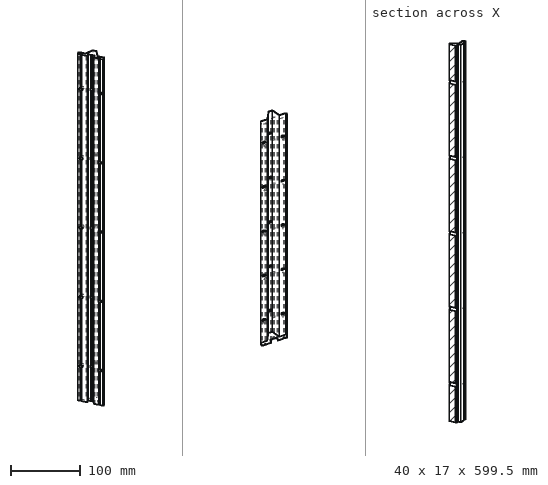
import cadquery as cq

length = 599.5
flange_width = 40.0
flange_thickness = 5.5
total_depth = 17.0
edge_chamfer = 1.0

ridge_root_width = 18.5
ridge_tip_width = 6.0

channel_width = 10.0
channel_depth = 5.0

groove_width = 2.5
groove_depth = 0.9
groove_edge_distance = 5.6

hole_diameter = 4.5
hole_rows = 5

front = -total_depth / 2
flange_back = front + flange_thickness
ridge_back = front + total_depth
channel_floor = front + channel_depth
side = flange_width / 2
groove_offset = side - groove_edge_distance
hole_pitch = length / hole_rows


def make_rail():
    """Flange with chamfered corners and a tapered ridge, over the full length."""
    right_half = [
        (side - edge_chamfer, front),
        (side, front + edge_chamfer),
        (side, flange_back - edge_chamfer),
        (side - edge_chamfer, flange_back),
        (ridge_root_width / 2, flange_back),
        (ridge_tip_width / 2, ridge_back),
    ]
    left_half = [(-x, y) for x, y in reversed(right_half)]
    return cq.Workplane("XY").polyline(right_half + left_half).close().extrude(length)


def make_channel():
    """Rectangular channel along the middle of the front face."""
    return (
        cq.Workplane("XY")
        .center(0, front + channel_depth / 2)
        .rect(channel_width, channel_depth)
        .extrude(length)
    )


def make_groove(x, face):
    """V-groove along the rail, cut backwards from a front-facing surface."""
    outline = [
        (x - groove_width / 2, face),
        (x, face + groove_depth),
        (x + groove_width / 2, face),
    ]
    return cq.Workplane("XY").polyline(outline).close().extrude(length)


def make_holes():
    """Rows of three through holes, one on each groove."""
    centres = []
    for row in range(hole_rows):
        z = (row + 0.5) * hole_pitch
        for x in (-groove_offset, 0, groove_offset):
            centres.append((x, z))
    return (
        cq.Workplane("XZ", origin=(0, ridge_back, 0))
        .pushPoints(centres)
        .circle(hole_diameter / 2)
        .extrude(total_depth)
    )


result = make_rail().cut(make_channel())
result = result.cut(make_groove(-groove_offset, front))
result = result.cut(make_groove(0, channel_floor))
result = result.cut(make_groove(groove_offset, front))
result = result.cut(make_holes())